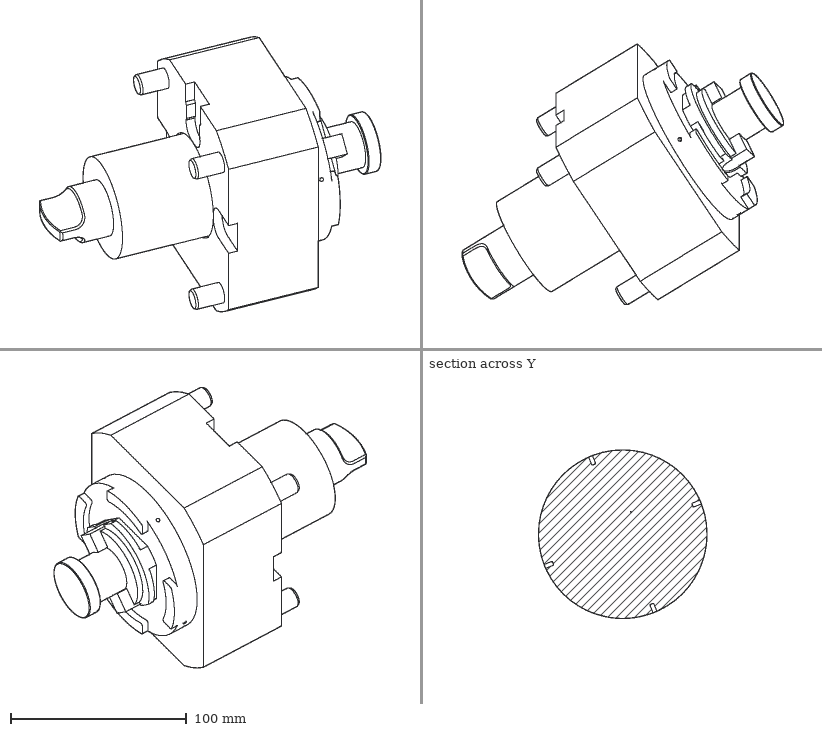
import cadquery as cq
import math


BODY_WIDTH = 108.0
BODY_HEIGHT = 130.0
BODY_DEPTH = 55.0
BODY_CORNER_DIAMETER = 148.0

SLOT_DEPTH = 5.5
SLOT_INNER_END = 31.0
SLOT_CORNER_RADIUS = 8.0
SIDE_SLOT_WIDTH = 20.0
TOP_SLOT_NECK_WIDTH = 20.0
TOP_SLOT_MOUTH_WIDTH = 22.2
TOP_SLOT_FOOT_WIDTH = 21.0
TOP_SLOT_MOUTH_Z = 52.3
TOP_SLOT_NECK_TOP_Z = 50.5
TOP_SLOT_NECK_BOTTOM_Z = 41.0
TOP_SLOT_FOOT_Z = 39.5
GROOVE_DIAMETER = 61.7

PIN_DIAMETER = 12.0
PIN_LENGTH = 17.4
PIN_CHAMFER_LENGTH = 1.3
PIN_CHAMFER_WIDTH = 0.7
PIN_X = 42.0
PIN_Z = 47.0

NOSE_DIAMETER = 60.0
NOSE_LENGTH = 55.4
TOOL_DIAMETER = 33.0
TOOL_SHANK_END = 73.0
TOOL_TIP = 91.0
BLADE_THICKNESS = 7.6
BLADE_ROOT_RADIUS = 6.0
BLADE_ARC_RISE = 3.5
TOOL_RIM_CHAMFER = 1.0
BLADE_TIP_CHAMFER = 0.6

FLANGE_DIAMETER = 96.0
FLANGE_HEIGHT = 12.0
TOOTH_HEIGHT = 4.0
TOOTH_COUNT = 4
TOOTH_PITCH_ANGLE = 360 / TOOTH_COUNT
TOOTH_WIDTH = 34.2
TOOTH_INNER_DIAMETER = 80.0
TOOTH_CORNER_RADIUS = 1.5
FLANGE_HOLE_DIAMETER = 2.1
FLANGE_HOLE_HEIGHT = 6.0
FLANGE_HOLE_DEPTH = 5.0
FLANGE_HOLE_ANGLE = 22.5

DISC_DIAMETER = 60.0
SQUARE_WIDTH = 50.0
SQUARE_TOP = 17.0
DISC_TOP = 20.8
DISC_FLATS_WIDTH = 51.0
COLLAR_DIAMETER = 48.0
COLLAR_TOP = 24.4
JAW_ANGLE = 45.0
JAW_WIDTH = 12.0
JAW_OUTER = 24.5
JAW_INNER = 13.0
JAW_TOP = 31.0
SHAFT_DIAMETER = 27.0
HEAD_DIAMETER = 35.0
HEAD_BOTTOM = 45.5
HEAD_TOP = 53.5
HEAD_CHAMFER = 0.5

ORIGIN = cq.Vector(0, 0, 0)
X_DIRECTION = cq.Vector(1, 0, 0)
Y_DIRECTION = cq.Vector(0, 1, 0)
POINT_TOLERANCE = 0.001


def cylinder(diameter, y_start, y_end, x=0.0, z=0.0):
    """Cylinder along Y between two Y positions."""
    return cq.Workplane(
        cq.Solid.makeCylinder(diameter / 2, y_end - y_start, cq.Vector(x, y_start, z), Y_DIRECTION)
    )


def box(x_range, y_range, z_range):
    """Axis-aligned box between the given limits."""
    size = [high - low for low, high in (x_range, y_range, z_range)]
    corner = (x_range[0], y_range[0], z_range[0])
    return cq.Workplane(cq.Solid.makeBox(*size, cq.Vector(*corner)))


def turn_about_axis(shape, angle):
    """Turn a shape about the tool axis, from +X towards +Z for positive angles."""
    return shape.rotate(ORIGIN, Y_DIRECTION, -angle)


def rear(height):
    """Y position of a height above the rear face of the body."""
    return BODY_DEPTH + height


def make_body():
    block = box(
        (-BODY_WIDTH / 2, BODY_WIDTH / 2),
        (0, BODY_DEPTH),
        (-BODY_HEIGHT / 2, BODY_HEIGHT / 2),
    )
    body = block.intersect(cylinder(BODY_CORNER_DIAMETER, 0, BODY_DEPTH))
    body = body.cut(make_top_slot())
    for side in (-1, 1):
        body = body.cut(make_side_slot(side))
    return body.cut(cylinder(GROOVE_DIAMETER, 0, SLOT_DEPTH))


def make_side_slot(side):
    x_range = sorted((side * SLOT_INNER_END, side * BODY_WIDTH / 2))
    slot = box(x_range, (0, SLOT_DEPTH), (-SIDE_SLOT_WIDTH / 2, SIDE_SLOT_WIDTH / 2))
    inner_face = "<X" if side > 0 else ">X"
    return slot.faces(inner_face).edges("|Y").fillet(SLOT_CORNER_RADIUS)


def make_top_slot():
    right_side = [
        (TOP_SLOT_FOOT_WIDTH / 2, SLOT_INNER_END),
        (TOP_SLOT_FOOT_WIDTH / 2, TOP_SLOT_FOOT_Z),
        (TOP_SLOT_NECK_WIDTH / 2, TOP_SLOT_NECK_BOTTOM_Z),
        (TOP_SLOT_NECK_WIDTH / 2, TOP_SLOT_NECK_TOP_Z),
        (TOP_SLOT_MOUTH_WIDTH / 2, TOP_SLOT_MOUTH_Z),
        (TOP_SLOT_MOUTH_WIDTH / 2, BODY_HEIGHT / 2),
    ]
    left_side = [(-x, z) for x, z in reversed(right_side)]
    slot = cq.Workplane("XZ").polyline(right_side + left_side).close().extrude(-SLOT_DEPTH)
    return slot.faces("<Z").edges("|Y").fillet(SLOT_CORNER_RADIUS)


def make_pin(x, z):
    pin = cylinder(PIN_DIAMETER, -PIN_LENGTH, SLOT_DEPTH, x, z)
    return pin.faces("<Y").chamfer(PIN_CHAMFER_LENGTH, PIN_CHAMFER_WIDTH)


def make_tool():
    """Shank that narrows through concave roots into a flat blade with an arched tip."""
    radius = TOOL_DIAMETER / 2
    half_blade = BLADE_THICKNESS / 2
    root_start = half_blade + BLADE_ROOT_RADIUS
    root_end = TOOL_SHANK_END + BLADE_ROOT_RADIUS
    root_offset = BLADE_ROOT_RADIUS * (1 - math.sqrt(0.5))
    root_middle = (-TOOL_SHANK_END - root_offset, half_blade + root_offset)
    side_profile = (
        cq.Workplane("YZ")
        .moveTo(-NOSE_LENGTH, -radius)
        .lineTo(-TOOL_SHANK_END, -radius)
        .lineTo(-TOOL_SHANK_END, -root_start)
        .threePointArc((root_middle[0], -root_middle[1]), (-root_end, -half_blade))
        .lineTo(-TOOL_TIP, -half_blade)
        .lineTo(-TOOL_TIP, half_blade)
        .lineTo(-root_end, half_blade)
        .threePointArc(root_middle, (-TOOL_SHANK_END, root_start))
        .lineTo(-TOOL_SHANK_END, radius)
        .lineTo(-NOSE_LENGTH, radius)
        .close()
        .extrude(radius, both=True)
    )
    blade_edge = TOOL_TIP - BLADE_ARC_RISE
    tip_outline = (
        cq.Workplane("XY")
        .moveTo(-radius, -NOSE_LENGTH)
        .lineTo(-radius, -blade_edge)
        .threePointArc((0, -TOOL_TIP), (radius, -blade_edge))
        .lineTo(radius, -NOSE_LENGTH)
        .close()
        .extrude(radius, both=True)
    )
    blank = side_profile.intersect(tip_outline)
    tool = blank.intersect(cylinder(TOOL_DIAMETER, -TOOL_TIP, -NOSE_LENGTH))
    tool = tool.newObject(shank_rim_edges(tool)).chamfer(TOOL_RIM_CHAMFER)
    chamfered_blank = blank.faces("<Y").edges("<Z or >Z").chamfer(BLADE_TIP_CHAMFER)
    return tool.intersect(chamfered_blank)


def shank_rim_edges(tool):
    """Edges that bound the round shank surface from its shoulder to the tip of the blade."""
    return [
        edge
        for edge in tool.edges().vals()
        if all(is_on_shank_rim(edge.positionAt(share)) for share in (0.0, 0.5, 1.0))
    ]


def is_on_shank_rim(point):
    """True for a point on the round shank surface at or beyond the shoulder."""
    distance = math.hypot(point.x, point.z)
    on_surface = math.isclose(distance, TOOL_DIAMETER / 2, abs_tol=POINT_TOLERANCE)
    return on_surface and point.y < -TOOL_SHANK_END + POINT_TOLERANCE


def make_flange():
    radius = FLANGE_DIAMETER / 2
    tooth_top = rear(FLANGE_HEIGHT + TOOTH_HEIGHT)
    gaps = cylinder(FLANGE_DIAMETER, rear(FLANGE_HEIGHT), tooth_top)
    for index in range(TOOTH_COUNT):
        gaps = gaps.cut(turn_about_axis(make_tooth(), TOOTH_PITCH_ANGLE * index))
    flange = cylinder(FLANGE_DIAMETER, BODY_DEPTH, tooth_top).cut(gaps)
    for index in range(TOOTH_COUNT):
        hole = cq.Workplane(
            cq.Solid.makeCylinder(
                FLANGE_HOLE_DIAMETER / 2,
                FLANGE_HOLE_DEPTH,
                cq.Vector(radius - FLANGE_HOLE_DEPTH, rear(FLANGE_HOLE_HEIGHT), 0),
                X_DIRECTION,
            )
        )
        flange = flange.cut(turn_about_axis(hole, FLANGE_HOLE_ANGLE + TOOTH_PITCH_ANGLE * index))
    return flange


def make_tooth():
    """Clutch tooth on the +X side: a ring sector with parallel flanks and rounded corners."""
    y_range = (rear(FLANGE_HEIGHT), rear(FLANGE_HEIGHT + TOOTH_HEIGHT))
    ring = cylinder(FLANGE_DIAMETER, *y_range).cut(cylinder(TOOTH_INNER_DIAMETER, *y_range))
    sector = box((0, FLANGE_DIAMETER / 2), y_range, (-TOOTH_WIDTH / 2, TOOTH_WIDTH / 2))
    return ring.intersect(sector).edges("|Y").fillet(TOOTH_CORNER_RADIUS)


def make_drive():
    disc_range = (rear(FLANGE_HEIGHT), rear(DISC_TOP))
    foot_range = (rear(FLANGE_HEIGHT), rear(SQUARE_TOP))
    half_square = SQUARE_WIDTH / 2
    half_flats = DISC_FLATS_WIDTH / 2
    radius = DISC_DIAMETER / 2

    foot = cylinder(DISC_DIAMETER, *foot_range)
    foot = foot.intersect(box((-half_square, half_square), foot_range, (-half_square, half_square)))
    disc = foot.union(cylinder(DISC_DIAMETER, rear(SQUARE_TOP), rear(DISC_TOP)))
    flats = box((-half_flats, half_flats), disc_range, (-radius, radius))
    disc = disc.intersect(turn_about_axis(flats, JAW_ANGLE))

    drive = disc.union(cylinder(COLLAR_DIAMETER, rear(DISC_TOP), rear(COLLAR_TOP)))
    for angle in (JAW_ANGLE, JAW_ANGLE + 180):
        notch = make_jaw(JAW_OUTER, radius)
        jaw = make_jaw(JAW_INNER, JAW_OUTER)
        drive = drive.cut(turn_about_axis(notch, angle))
        drive = drive.union(turn_about_axis(jaw, angle))

    drive = drive.union(cylinder(SHAFT_DIAMETER, rear(COLLAR_TOP), rear(HEAD_BOTTOM)))
    head = cylinder(HEAD_DIAMETER, rear(HEAD_BOTTOM), rear(HEAD_TOP))
    return drive.union(head.edges().chamfer(HEAD_CHAMFER))


def make_jaw(inner, outer):
    """Bar on the +X side between two radial distances, with a round bottom on the flange."""
    half_width = JAW_WIDTH / 2
    round_center = rear(FLANGE_HEIGHT) + half_width
    return (
        cq.Workplane("YZ", origin=(inner, 0, 0))
        .moveTo(rear(JAW_TOP), -half_width)
        .lineTo(round_center, -half_width)
        .threePointArc((rear(FLANGE_HEIGHT), 0), (round_center, half_width))
        .lineTo(rear(JAW_TOP), half_width)
        .close()
        .extrude(outer - inner)
    )


result = make_body()
result = result.union(cylinder(NOSE_DIAMETER, -NOSE_LENGTH, SLOT_DEPTH))
for pin_x in (-PIN_X, PIN_X):
    for pin_z in (-PIN_Z, PIN_Z):
        result = result.union(make_pin(pin_x, pin_z))
result = result.union(make_tool())
result = result.union(make_flange())
result = result.union(make_drive())